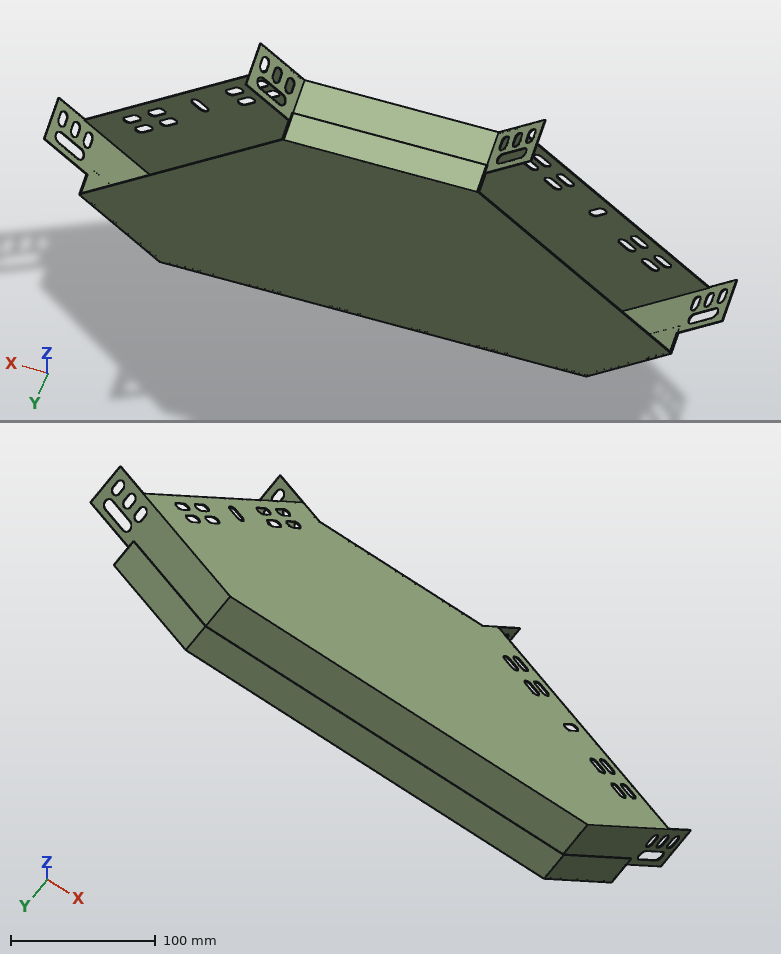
import cadquery as cq
import math


channel_width = 202.0
outer_bevel = 307.5
leg_length = 102.5
wall_height = 50.5
sheet = 0.9
corner_turn = 45
miter_slope = math.tan(math.radians(corner_turn / 2))
leg_rise = math.sin(math.radians(corner_turn))
leg_run = math.cos(math.radians(corner_turn))

tab_length = 27.0
tab_height = 35.0

cover_setback = 18.0
lip_depth = 22.0

floor_slot_length = 14.5
floor_slot_width = 7.0
slot_offsets = (39.0, 63.5)
slot_rows = (11.5, 23.5)
middle_slot_length = 14.5
middle_slot_width = 7.0
middle_slot_place = 15.5

long_slot_length = 29.0
long_slot_width = 8.5
long_slot_height = 25.5
short_slot_length = 12.0
short_slot_width = 7.0
short_slot_height = 12.0
tab_slot_center = 22.5
short_slot_pitch = 13.5

tilt_x = -0.35
tilt_y = -1.6
tilt_z = 1.25


def corner(across):
    """Right-hand corner of the line that lies `across` from the outer wall face."""
    return outer_bevel / 2 - across * miter_slope, across


def leg_point(across, beyond):
    """Point on the right leg's line, `beyond` the channel end."""
    x, z = corner(across)
    length = leg_length - across * miter_slope + beyond
    return x + length * leg_run, z + length * leg_rise


def strip(start, stop, beyond, base, height):
    """Band that follows the bend between two lines and rises along +Y from `base`."""
    right = [corner(start), leg_point(start, beyond), leg_point(stop, beyond), corner(stop)]
    left = [(-x, z) for x, z in reversed(right)]
    return cq.Workplane("XZ", origin=(0, base, 0)).polyline(right + left).close().extrude(-height)


def end_plane(side, across, beyond, normal_along_y):
    """Plane at one channel end (side +1 right, -1 left): its x direction points out of the channel."""
    x, z = leg_point(across, beyond)
    outward = (side * leg_run, 0, leg_rise)
    sideways = (-side * leg_rise, 0, leg_run)
    normal = (0, 1, 0) if normal_along_y else sideways
    return cq.Workplane(cq.Plane(origin=(side * x, 0, z), xDir=outward, normal=normal))


def floor_slots(side):
    places = [(-row, sign * offset) for row in slot_rows for offset in slot_offsets for sign in (-1, 1)]
    pairs = end_plane(side, channel_width / 2, 0, True).pushPoints(places)
    pairs = pairs.slot2D(floor_slot_length, floor_slot_width, 90).extrude(sheet, both=True)
    single = end_plane(side, channel_width / 2, -middle_slot_place, True)
    single = single.slot2D(middle_slot_length, middle_slot_width).extrude(sheet, both=True)
    return pairs.union(single)


def tab_slots(side):
    """Slots of both tabs at one end; the cutters pass across the whole channel."""
    up = end_plane(side, 0, 0, False).plane.yDir.y
    reach = channel_width + sheet
    center = tab_length - tab_slot_center
    long_slot = end_plane(side, 0, center, False).center(0, up * long_slot_height)
    long_slot = long_slot.slot2D(long_slot_length, long_slot_width).extrude(reach, both=True)
    places = [(i * short_slot_pitch, up * short_slot_height) for i in (-1, 0, 1)]
    short_slots = end_plane(side, 0, center, False).pushPoints(places)
    short_slots = short_slots.slot2D(short_slot_length, short_slot_width, 90).extrude(reach, both=True)
    return long_slot.union(short_slots)


def make_tray():
    floor = strip(0, channel_width, 0, 0, sheet)
    outer_wall = strip(0, sheet, tab_length, 0, tab_height)
    inner_wall = strip(channel_width - sheet, channel_width, tab_length, 0, tab_height)
    tray = floor.union(outer_wall).union(inner_wall)
    rise = wall_height - tab_height
    tray = tray.union(strip(0, sheet, -cover_setback, tab_height, rise))
    tray = tray.union(strip(channel_width - sheet, channel_width, -cover_setback, tab_height, rise))
    for side in (-1, 1):
        tray = tray.cut(floor_slots(side)).cut(tab_slots(side))
    return tray


def make_cover():
    plate = strip(-sheet, channel_width + sheet, -cover_setback, wall_height, sheet)
    lip_base = wall_height - lip_depth
    outer_lip = strip(-sheet, 0, -cover_setback, lip_base, lip_depth)
    inner_lip = strip(channel_width, channel_width + sheet, -cover_setback, lip_base, lip_depth)
    return plate.union(outer_lip).union(inner_lip)


def tilted(body):
    origin = (0, 0, 0)
    body = body.rotate(origin, (1, 0, 0), tilt_x)
    body = body.rotate(origin, (0, 0, 1), tilt_z)
    return body.rotate(origin, (0, 1, 0), tilt_y)


tray = tilted(make_tray())
cover = tilted(make_cover())

result = cq.Compound.makeCompound([tray.solids().val(), cover.solids().val()])